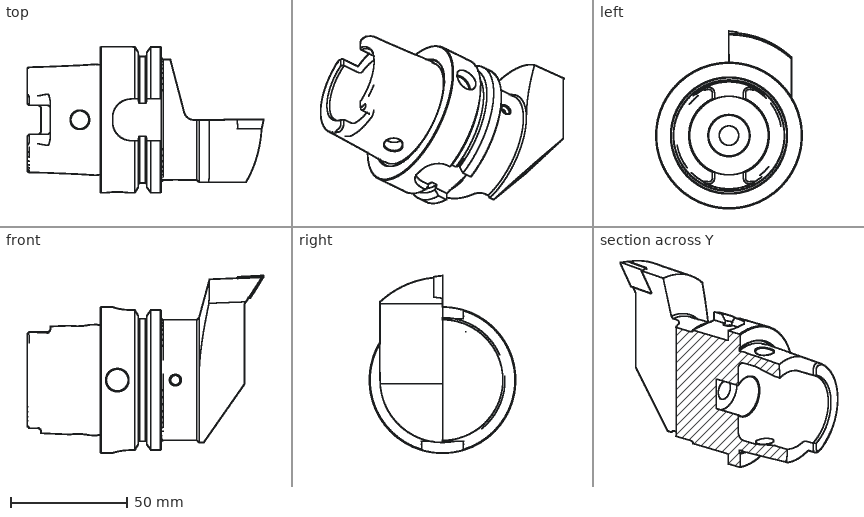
import cadquery as cq
import math


SHANK_TIP_RADIUS = 22.7
SHANK_ROOT_RADIUS = 23.9
SHANK_TAPER_END = 29.8
SHANK_EDGE_FILLET = 1.0
RELIEF_RADIUS = 23.7
RELIEF_START = 30.7

FLANGE_FACE = 31.6
FLANGE_RADIUS = 31.5
FLANGE_EDGE = 0.3
FACE_GROOVE_FLOOR = 32.2
FACE_GROOVE_RADIUS = 24.9
FLANGE_END = 57.7

GROOVE_START = 46.4
GROOVE_NECK_START = 47.9
GROOVE_NECK_END = 51.5
GROOVE_END = 53.3
GROOVE_SHOULDER_RADIUS = 29.0
GROOVE_NECK_RADIUS = 27.3
GROOVE_FILLET = 0.5

NECK_RADIUS = 26.0
NECK_START_FILLET = 0.9
NECK_END = 73.1

MOUTH_RADIUS = 17.3
MOUTH_LENGTH = 1.1
BORE_RADIUS = 16.9
UNDERCUT_RADIUS = 18.8
UNDERCUT_START = 12.4
UNDERCUT_FULL_START = 22.9
BORE_FLOOR = 32.6
BORE_FLOOR_FILLET = UNDERCUT_RADIUS - 15.8
TUBE_BORE_RADIUS = 8.8
TUBE_BORE_CHAMFER = 0.3
TUBE_BORE_DEPTH = 12.2
COOLANT_HOLE_RADIUS = 4.2
COOLANT_HOLE_DEPTH = 10.2
DRILL_POINT_ANGLE = 118.0

NOTCH_HALF_WIDTH = 6.2
NOTCH_SHELF = 20.8
NOTCH_LUG_RADIUS = 2.4
NOTCH_SHELF_SLOPE = 15.0
NOTCH_END_FILLET = 1.2
NOTCH_DEPTHS = {1: 10.0, -1: 5.9}
NOTCH_EDGE_CHAMFER = 0.9

CROSS_HOLE_X = 22.7
CROSS_HOLE_RADIUS = 3.9
CROSS_HOLE_EDGE = 0.3

SLOT_START = 36.8
SLOT_FLOOR = 26.4
SLOT_HALF_WIDTH = 9.0
SLOT_CORNER_RADIUS = 8.0

CHIP_X = 38.8
CHIP_RADIUS = 5.0
CHIP_DEPTH = 4.6
CHIP_FLOOR_CHAMFER = 0.3

BALL_X = 63.8
BALL_RADIUS = 2.0
BALL_RECESS = 1.5
BALL_HOLE_CHAMFER = 0.5

HEAD_START = 74.0
HEAD_RADIUS = 26.9
HEAD_CONE_END = 78.4
HEAD_CONE_RADIUS = 43.0
HEAD_TOP = 43.4
HEAD_TOP_ARC_RADIUS = 40.0
HEAD_TOP_SLOPE = 2.3
HEAD_REAR = 93.7
HEAD_REAR_CORNER_Z = 32.8
HEAD_REAR_BOTTOM_Z = -1.6
HEAD_HEEL_X = 76.0
HEAD_END_ANGLE = 57.0

CLEARANCE_START = 61.7
CLEARANCE_CORNER = 68.5
CLEARANCE_FILLET = 4.3

INSERT_TIP_X = 101.9
INSERT_TIP_Z = 45.0
INSERT_ANGLE = 55.0
INSERT_EDGE = 11.6
INSERT_NOSE = 0.4
INSERT_LEAD = 3.0
INSERT_CLEARANCE = 7.0
INSERT_FACE = 0.2
INSERT_THICKNESS = 4.1

CUT_MARGIN = 20.4
RIM_MARGIN = 1.0
AXIS_START = (0, 0, 0)
AXIS_END = (1, 0, 0)


def revolve_about_axis(outline):
    """Revolve a closed outline of (x, radius) around the tool axis."""
    return outline.close().revolve(360, AXIS_START, AXIS_END)


def cone_depth(radius):
    """Depth of the drill point at the bottom of a hole."""
    return radius / math.tan(math.radians(DRILL_POINT_ANGLE / 2))


def turned_body():
    """Shank, flange and neck, turned around the tool axis."""
    outline = (
        cq.Workplane("XZ")
        .moveTo(0, 0)
        .lineTo(0, SHANK_TIP_RADIUS - SHANK_EDGE_FILLET)
        .radiusArc((SHANK_EDGE_FILLET, SHANK_TIP_RADIUS), SHANK_EDGE_FILLET)
        .lineTo(SHANK_TAPER_END, SHANK_ROOT_RADIUS)
        .lineTo(RELIEF_START, RELIEF_RADIUS)
        .lineTo(FACE_GROOVE_FLOOR, RELIEF_RADIUS)
        .lineTo(FACE_GROOVE_FLOOR, FACE_GROOVE_RADIUS)
        .lineTo(FLANGE_FACE, FACE_GROOVE_RADIUS + FLANGE_EDGE)
        .lineTo(FLANGE_FACE, FLANGE_RADIUS - FLANGE_EDGE)
        .lineTo(FLANGE_FACE + FLANGE_EDGE, FLANGE_RADIUS)
        .lineTo(GROOVE_START, FLANGE_RADIUS)
        .lineTo(GROOVE_NECK_START, GROOVE_SHOULDER_RADIUS)
        .lineTo(GROOVE_NECK_START, GROOVE_NECK_RADIUS + GROOVE_FILLET)
        .radiusArc((GROOVE_NECK_START + GROOVE_FILLET, GROOVE_NECK_RADIUS), -GROOVE_FILLET)
        .lineTo(GROOVE_NECK_END - GROOVE_FILLET, GROOVE_NECK_RADIUS)
        .radiusArc((GROOVE_NECK_END, GROOVE_NECK_RADIUS + GROOVE_FILLET), -GROOVE_FILLET)
        .lineTo(GROOVE_NECK_END, GROOVE_SHOULDER_RADIUS)
        .lineTo(GROOVE_END, FLANGE_RADIUS)
        .lineTo(FLANGE_END - FLANGE_EDGE, FLANGE_RADIUS)
        .lineTo(FLANGE_END, FLANGE_RADIUS - FLANGE_EDGE)
        .lineTo(FLANGE_END, NECK_RADIUS + NECK_START_FILLET)
        .radiusArc((FLANGE_END + NECK_START_FILLET, NECK_RADIUS), -NECK_START_FILLET)
        .lineTo(NECK_END, NECK_RADIUS)
        .lineTo(HEAD_START, HEAD_RADIUS)
        .lineTo(HEAD_START, 0)
    )
    return revolve_about_axis(outline)


def clamping_bore():
    """Stepped bore with an undercut, a coolant tube bore and a drilled coolant hole."""
    tube_floor = BORE_FLOOR + TUBE_BORE_DEPTH
    hole_floor = tube_floor + COOLANT_HOLE_DEPTH
    outline = (
        cq.Workplane("XZ")
        .moveTo(0, 0)
        .lineTo(0, MOUTH_RADIUS)
        .lineTo(MOUTH_LENGTH, BORE_RADIUS)
        .lineTo(UNDERCUT_START, BORE_RADIUS)
        .lineTo(UNDERCUT_FULL_START, UNDERCUT_RADIUS)
        .lineTo(BORE_FLOOR - BORE_FLOOR_FILLET, UNDERCUT_RADIUS)
        .radiusArc((BORE_FLOOR, UNDERCUT_RADIUS - BORE_FLOOR_FILLET), BORE_FLOOR_FILLET)
        .lineTo(BORE_FLOOR, TUBE_BORE_RADIUS + TUBE_BORE_CHAMFER)
        .lineTo(BORE_FLOOR + TUBE_BORE_CHAMFER, TUBE_BORE_RADIUS)
        .lineTo(tube_floor, TUBE_BORE_RADIUS)
        .lineTo(tube_floor, COOLANT_HOLE_RADIUS)
        .lineTo(hole_floor, COOLANT_HOLE_RADIUS)
        .lineTo(hole_floor + cone_depth(COOLANT_HOLE_RADIUS), 0)
    )
    return revolve_about_axis(outline)


def notch_outline(start_x):
    """Notch section whose side walls round over into a wide, gently falling shelf."""
    half_shelf = SHANK_ROOT_RADIUS
    top = SHANK_ROOT_RADIUS + CUT_MARGIN
    slope = math.radians(NOTCH_SHELF_SLOPE)
    wall_top = NOTCH_SHELF - NOTCH_LUG_RADIUS
    lug_edge = NOTCH_HALF_WIDTH + NOTCH_LUG_RADIUS * (1 + math.sin(slope))
    shelf_start = wall_top + NOTCH_LUG_RADIUS * math.cos(slope)
    shelf_end = shelf_start - (half_shelf - lug_edge) * math.tan(slope)
    return (
        cq.Workplane("YZ", origin=(start_x, 0, 0))
        .moveTo(-NOTCH_HALF_WIDTH, 0)
        .lineTo(-NOTCH_HALF_WIDTH, wall_top)
        .radiusArc((-lug_edge, shelf_start), -NOTCH_LUG_RADIUS)
        .lineTo(-half_shelf, shelf_end)
        .lineTo(-half_shelf, top)
        .lineTo(half_shelf, top)
        .lineTo(half_shelf, shelf_end)
        .lineTo(lug_edge, shelf_start)
        .radiusArc((NOTCH_HALF_WIDTH, wall_top), -NOTCH_LUG_RADIUS)
        .lineTo(NOTCH_HALF_WIDTH, 0)
        .close()
    )


def notch_entry():
    """Chamfer along the lug edges at the shank end, made as a notch section that narrows inward."""
    entry = notch_outline(0).offset2D(NOTCH_EDGE_CHAMFER)
    return entry.extrude(NOTCH_EDGE_CHAMFER, taper=45)


def drive_notch(side):
    """Notch through the shank wall on the +Z (side 1) or -Z (side -1) side, leaving round-topped lugs."""
    notch = (
        notch_outline(-CUT_MARGIN)
        .extrude(CUT_MARGIN + NOTCH_DEPTHS[side])
        .faces(">X")
        .edges()
        .fillet(NOTCH_END_FILLET)
    )
    notch = notch.union(notch_entry())
    return notch if side > 0 else notch.mirror("XY")


def with_cross_hole(body):
    """Drill straight across the shank and break the edge where the hole meets the outside."""
    hole = cq.Workplane("XY", origin=(CROSS_HOLE_X, 0, 0)).circle(CROSS_HOLE_RADIUS)
    drilled = body.cut(hole.extrude(SHANK_ROOT_RADIUS, both=True))
    reach = CROSS_HOLE_RADIUS + RIM_MARGIN
    for side in (1, -1):
        inner_corner = (CROSS_HOLE_X - reach, -reach, side * UNDERCUT_RADIUS)
        outer_corner = (CROSS_HOLE_X + reach, reach, side * SHANK_ROOT_RADIUS)
        rim = cq.selectors.BoxSelector(inner_corner, outer_corner, boundingbox=True)
        drilled = drilled.edges(rim).chamfer(CROSS_HOLE_EDGE)
    return drilled


def key_slot(side):
    """Flat-floored slot, open toward the head, in the +Z (side 1) or -Z (side -1) flange side."""
    length = FLANGE_END - SLOT_START
    slot = (
        cq.Workplane("XY")
        .box(length, 2 * SLOT_HALF_WIDTH, CUT_MARGIN, centered=(False, True, False))
        .edges("|Z and <X")
        .fillet(SLOT_CORNER_RADIUS)
        .translate((SLOT_START, 0, SLOT_FLOOR))
    )
    return slot if side > 0 else slot.mirror("XY")


def chip_hole():
    """Blind hole in the -Y side of the flange with a chamfered floor edge."""
    floor = FLANGE_RADIUS - CHIP_DEPTH
    hole = cq.Workplane("XZ", origin=(CHIP_X, -floor, 0)).circle(CHIP_RADIUS).extrude(CUT_MARGIN)
    return hole.faces(">Y").chamfer(CHIP_FLOOR_CHAMFER)


def ball_center_y():
    """Y of the ball centre, with the ball sunk below the neck surface."""
    return -(NECK_RADIUS - BALL_RECESS - BALL_RADIUS)


def sealing_ball():
    return cq.Workplane("XY").sphere(BALL_RADIUS).translate((BALL_X, ball_center_y(), 0))


def ball_hole():
    """Hole with a rounded floor that holds the ball, chamfered at its mouth."""
    bore = cq.Workplane("XZ", origin=(BALL_X, ball_center_y(), 0)).circle(BALL_RADIUS).extrude(CUT_MARGIN)
    mouth_radius = BALL_RADIUS + BALL_HOLE_CHAMFER
    mouth = cq.Workplane("XZ", origin=(BALL_X, -NECK_RADIUS + BALL_HOLE_CHAMFER, 0))
    mouth = mouth.circle(BALL_RADIUS).workplane(offset=BALL_HOLE_CHAMFER).circle(mouth_radius).loft()
    return bore.union(mouth).union(sealing_ball())


def head_side_outline():
    """Prism along Y whose XZ outline has the slanted end above and the slanted heel below."""
    top = HEAD_TOP + CUT_MARGIN
    end_run = (top - HEAD_REAR_CORNER_Z) / math.tan(math.radians(HEAD_END_ANGLE))
    outline = [
        (HEAD_START, -HEAD_RADIUS),
        (HEAD_HEEL_X, -HEAD_RADIUS),
        (HEAD_REAR, HEAD_REAR_BOTTOM_Z),
        (HEAD_REAR, HEAD_REAR_CORNER_Z),
        (HEAD_REAR + end_run, top),
        (HEAD_START, top),
    ]
    return cq.Workplane("XZ").polyline(outline).close().extrude(HEAD_RADIUS)


def head_top_prism():
    """Prism under the arched top, swept along a line that rises gently toward the tip."""
    rise = math.tan(math.radians(HEAD_TOP_SLOPE))
    length = INSERT_TIP_X - HEAD_START + CUT_MARGIN
    crown = HEAD_TOP - (HEAD_CONE_END - HEAD_START) * rise
    arc_drop = HEAD_TOP_ARC_RADIUS - math.sqrt(HEAD_TOP_ARC_RADIUS**2 - HEAD_RADIUS**2)
    bottom = -HEAD_RADIUS - CUT_MARGIN
    outline = (
        cq.Workplane("YZ", origin=(HEAD_START, 0, 0))
        .moveTo(0, bottom)
        .lineTo(-HEAD_RADIUS, bottom)
        .lineTo(-HEAD_RADIUS, crown - arc_drop)
        .radiusArc((0, crown), HEAD_TOP_ARC_RADIUS)
        .close()
        .wire()
        .val()
    )
    return cq.Workplane(cq.Solid.extrudeLinear(outline, [], cq.Vector(length, 0, length * rise)))


def head_section():
    """Round below the axis and flat-sided above it."""
    length = INSERT_TIP_X - HEAD_START + CUT_MARGIN
    start = cq.Workplane("YZ", origin=(HEAD_START, 0, 0))
    height = HEAD_TOP + CUT_MARGIN
    upper = start.center(0, height / 2).rect(2 * HEAD_RADIUS, height).extrude(length)
    lower = cq.Workplane("YZ", origin=(HEAD_START, 0, 0)).circle(HEAD_RADIUS).extrude(length)
    return lower.union(upper)


def head_front_cone():
    """Ring that bevels the front of the head outside its round part."""
    slope = (HEAD_CONE_END - HEAD_START) / (HEAD_CONE_RADIUS - HEAD_RADIUS)
    outer = HEAD_TOP + CUT_MARGIN
    outline = (
        cq.Workplane("XY")
        .moveTo(HEAD_START, HEAD_RADIUS)
        .lineTo(HEAD_START + slope * (outer - HEAD_RADIUS), outer)
        .lineTo(HEAD_START - CUT_MARGIN, outer)
        .lineTo(HEAD_START - CUT_MARGIN, HEAD_RADIUS)
    )
    return revolve_about_axis(outline)


def cutting_head():
    head = head_side_outline().intersect(head_top_prism()).intersect(head_section())
    return head.cut(head_front_cone())


def side_clearance():
    """Removes the +Y half beyond the flange, with a slanted and filleted run-out."""
    depth = NECK_RADIUS + CUT_MARGIN
    lean = (CLEARANCE_CORNER - CLEARANCE_START) / NECK_RADIUS
    end = INSERT_TIP_X + CUT_MARGIN
    outline = [
        (CLEARANCE_CORNER, 0),
        (end, 0),
        (end, depth),
        (CLEARANCE_CORNER - lean * depth, depth),
    ]
    block = cq.Workplane("XY").polyline(outline).close().extrude(HEAD_TOP + CUT_MARGIN, both=True)
    return block.edges("|Z").edges("<Y").edges("<X").fillet(CLEARANCE_FILLET)


def cutting_insert():
    """Rhombic plate with a rounded nose and flanks that lean inward below the cutting face."""
    half_angle = INSERT_ANGLE / 2
    first = math.radians(180 + INSERT_LEAD)
    second = first + math.radians(INSERT_ANGLE)
    outward = math.radians(INSERT_LEAD + half_angle)
    nose_reach = INSERT_NOSE / math.sin(math.radians(half_angle))
    tip_x = INSERT_TIP_X - INSERT_NOSE + nose_reach * math.cos(outward)
    tip_z = INSERT_TIP_Z - INSERT_NOSE + nose_reach * math.sin(outward)
    edge_a = (INSERT_EDGE * math.cos(first), INSERT_EDGE * math.sin(first))
    edge_b = (INSERT_EDGE * math.cos(second), INSERT_EDGE * math.sin(second))
    outline = [
        (0, 0),
        edge_a,
        (edge_a[0] + edge_b[0], edge_a[1] + edge_b[1]),
        edge_b,
    ]
    blank = (
        cq.Workplane("XZ", origin=(tip_x, INSERT_FACE, tip_z))
        .polyline(outline)
        .close()
        .extrude(INSERT_THICKNESS, taper=INSERT_CLEARANCE)
    )
    return blank.edges("not #Y").fillet(INSERT_NOSE)


def tool_holder(insert):
    """One-piece holder with a pocket that matches the insert."""
    holder = with_cross_hole(turned_body()).cut(clamping_bore())
    for side in (1, -1):
        holder = holder.cut(drive_notch(side)).cut(key_slot(side))
    holder = holder.cut(chip_hole()).cut(ball_hole())
    holder = holder.union(cutting_head()).cut(side_clearance())
    return holder.cut(insert)


insert = cutting_insert()
ball = sealing_ball()
holder = tool_holder(insert)

result = cq.Compound.makeCompound([holder.val(), insert.val(), ball.val()])